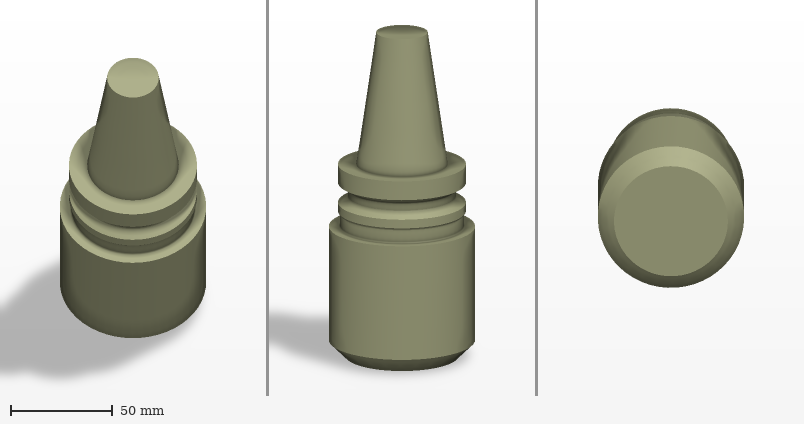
import cadquery as cq
import math

overall_length = 165.4

gauge_diameter = 44.45
taper_rate = 7 / 24
shank_length = 65.4
flange_gap = 2.0

flange_diameter = 63.0
groove_diameter = 53.0
groove_width = 10.0
groove_centre_depth = 16.6
groove_flank_angle = 30.0
flange_bottom_depth = 27.0

neck_diameter = 61.0
body_diameter = 72.0
body_top_depth = 33.9
nose_diameter = 56.0
nose_height = 8.0

corner_radius = 0.8
tolerance = 0.01

shank_tip = shank_length
flange_top = -flange_gap
groove_top = -groove_centre_depth + groove_width / 2
groove_bottom = -groove_centre_depth - groove_width / 2
flank_height = (flange_diameter - groove_diameter) / 2 * math.tan(math.radians(groove_flank_angle))
groove_floor_top = groove_top - flank_height
groove_floor_bottom = groove_bottom + flank_height
neck_top = -flange_bottom_depth
neck_bottom = -body_top_depth
rim_chamfer = (flange_diameter - neck_diameter) / 2
nose_bottom = shank_length - overall_length
nose_top = nose_bottom + nose_height


def taper_diameter(height):
    return gauge_diameter - taper_rate * height


def revolved_body():
    """Revolve the sharp-cornered half section, listed as (diameter, height) from the top."""
    section = [
        (0, shank_tip),
        (taper_diameter(shank_tip), shank_tip),
        (taper_diameter(flange_top), flange_top),
        (flange_diameter, flange_top),
        (flange_diameter, groove_top),
        (groove_diameter, groove_floor_top),
        (groove_diameter, groove_floor_bottom),
        (flange_diameter, groove_bottom),
        (flange_diameter, neck_top + rim_chamfer),
        (neck_diameter, neck_top),
        (neck_diameter, neck_bottom),
        (body_diameter, neck_bottom),
        (body_diameter, nose_top),
        (nose_diameter, nose_bottom),
        (0, nose_bottom),
    ]
    points = [(diameter / 2, height) for diameter, height in section]
    return cq.Workplane("XZ").polyline(points).close().revolve(360, (0, 0, 0), (0, 1, 0))


def round_circle(body, diameter, height):
    """Fillet the circular edge that has this diameter and lies at this height."""

    def is_corner(edge):
        same_size = abs(edge.radius() - diameter / 2) < tolerance
        same_height = abs(edge.Center().z - height) < tolerance
        return same_size and same_height

    return body.edges("%CIRCLE").filter(is_corner).fillet(corner_radius)


result = revolved_body()
result = round_circle(result, groove_diameter, groove_floor_top)
result = round_circle(result, groove_diameter, groove_floor_bottom)
result = round_circle(result, neck_diameter, neck_top)
result = round_circle(result, neck_diameter, neck_bottom)